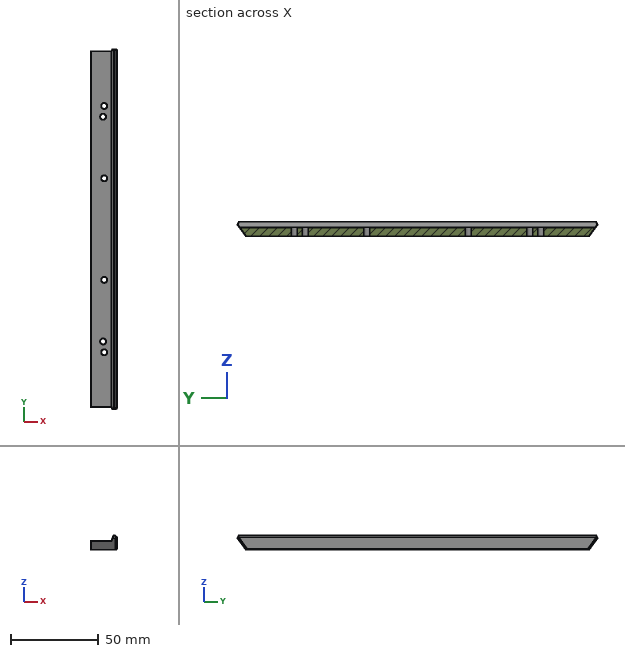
import cadquery as cq

length = 206.5
width = 15.0
height = 8.5
floor_height = 5.2
bottom_chamfer = 0.8

lip_foot_x = 11.8
lip_crest_start_x = 13.0
lip_crest_end_x = 13.6
lip_outer_height = 7.2

tip_height = 6.8
end_undercut = 5.0
tip_bevel = 0.8

corner_bevel_x = 1.0
corner_bevel_y = 1.0

hole_diameter = 3.3
main_hole_x = 7.6
offset_hole_x = 7.0
main_hole_distances = (29.1, 70.6)
offset_hole_distance = 64.5

half_length = length / 2


def lipped_bar():
    """Constant cross-section running the full length along Y."""
    section = [
        (0, 0),
        (width - bottom_chamfer, 0),
        (width, bottom_chamfer),
        (width, lip_outer_height),
        (lip_crest_end_x, height),
        (lip_crest_start_x, height),
        (lip_foot_x, floor_height),
        (0, floor_height),
    ]
    return cq.Workplane("XZ").polyline(section).close().extrude(half_length, both=True)


def end_envelope():
    """Side outline that gives both ends their undercut and tip bevel."""
    half_outline = [
        (half_length - end_undercut, 0),
        (half_length, tip_height),
        (half_length - tip_bevel, height),
    ]
    mirrored_outline = [(-y, z) for y, z in reversed(half_outline)]
    return cq.Workplane("YZ").polyline(half_outline + mirrored_outline).close().extrude(width)


def corner_cutter(side):
    """Wedge parallel to the undercut that bevels one +X corner."""
    foot_y = half_length - end_undercut
    slope = end_undercut / tip_height
    top_shift = height * slope

    def triangle(z, shift):
        edge_y = foot_y + shift
        points = [
            (width - corner_bevel_x, side * edge_y, z),
            (width, side * (edge_y - corner_bevel_y), z),
            (width, side * edge_y, z),
        ]
        return cq.Wire.makePolygon([cq.Vector(*point) for point in points], close=True)

    return cq.Solid.makeLoft([triangle(0, 0), triangle(height, top_shift)], True)


result = lipped_bar().intersect(end_envelope())

for side in (-1, 1):
    result = result.cut(cq.Workplane(obj=corner_cutter(side)))

hole_centres = [(main_hole_x, side * y) for side in (-1, 1) for y in main_hole_distances]
hole_centres += [(offset_hole_x, side * offset_hole_distance) for side in (-1, 1)]
holes = cq.Workplane("XY").pushPoints(hole_centres).circle(hole_diameter / 2).extrude(height)
result = result.cut(holes)